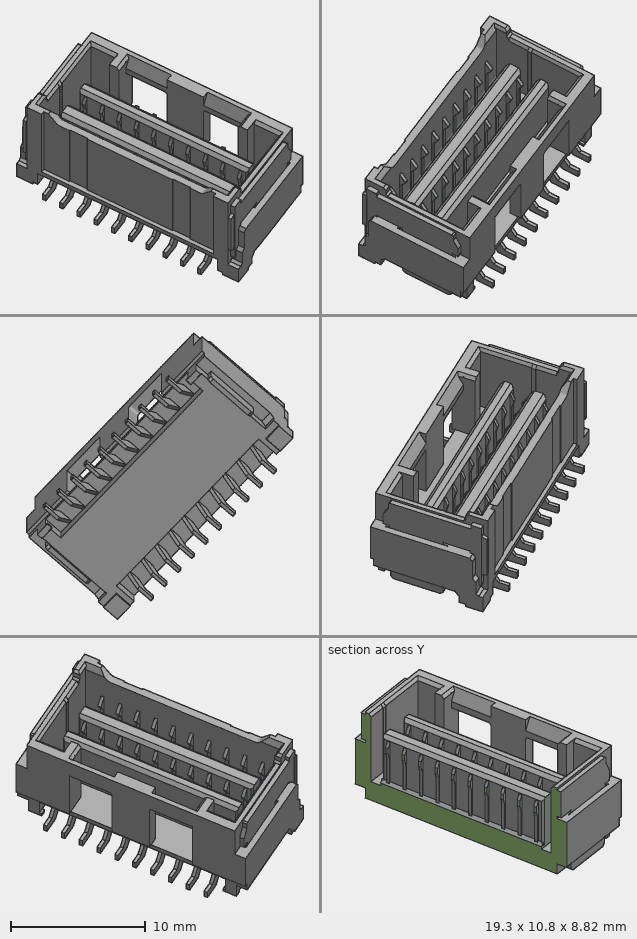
import cadquery as cq
import math


length = 19.3
half_length = length / 2
height = 8.82
pin_span = 10.85
half_depth = 4.57
front = -half_depth

wall_x = 8.75
wall_top = 8.0
underside = 0.3
floor_z = 2.0
raised_foot_y = -2.59
raised_back_y = raised_foot_y - 0.17
raised_top_y = raised_back_y - 0.23
mouth_depth = 0.25
cavity_x = 8.18
mouth_x = 8.38
cavity_back = 3.59
mouth_back = 3.86
cavity_front = -3.65
cavity_root_front = -3.53
mouth_front = -3.95
lead_in_bottom = 8.34
guide_nub_x = 8.13
guide_nub_y = (-0.89, -0.56)

dip_outer_x = 7.06
dip_slope_x = 6.43
dip_inner_x = 6.06
dip_slope_drop = 0.65
panel_x = 7.47
panel_y = front + 0.3
groove_x = (3.7, 5.23)
groove_depth = 0.08

key_x = (5.17, 6.0)
key_front = 2.68
key_chamfer = 0.23
pocket_back = 3.65
pad_x = 1.58
scoop_y = 4.2
scoop_bottom = 7.03
window_top = 6.47
window_corner = 0.23

back_step_y = 4.32
pin_bay_x = 7.82
pin_bay_top = 1.58
pin_bay_y = 2.8
foot_bottom = 0.08
front_foot_x = 8.25
back_foot_x = 7.62
front_foot_back = -3.17
back_foot_front = 3.85

plate_x = 9.1
flange_top = 5.29
flange_notch_z = 1.33
slit_width = 0.05
slit_y = (-1.47, 3.57)
slit_bottom = 1.93
lug_x = (8.78, 9.05)
plate_front = -4.2
plate_bottom = 2.2
tab_y = (-1.1, 3.17)
tab_chamfer = 0.23

blade_x = 7.33
blade_base_z = 2.2
blade_base_back = 0.96
blade_top = 6.37
blade_chamfer = 0.29
root_flare_height = 0.29
blade_end_chamfer = 0.15
back_blade_faces = (1.55, 0.48)
front_blade_faces = (-0.89, -2.18)
blade_roots = [
    (back_blade_faces[1], 0.3),
    (front_blade_faces[0], -0.75),
    (front_blade_faces[1], -2.41),
]

contacts_per_row = 10
row_length = 13.5
pitch = row_length / (contacts_per_row - 1)
contact_width = 0.27
prong_top = 5.98
prong_tip_z = 5.35
prong_root_z = 4.63
prong_embed = 0.1
leg_height = 0.65
leg_end = pin_span / 2
leg_bend_y = 4.6
leg_heel_y = 4.01
leg_run = 1.31
leg_top = 1.78
toe_chamfer = 0.05


def block(x_range, y_range, z_range):
    """Box between the given limits."""
    size = [high - low for low, high in (x_range, y_range, z_range)]
    return cq.Workplane("XY").box(*size, centered=False).translate((x_range[0], y_range[0], z_range[0]))


def prism_x(points, x_range):
    """(Y, Z) outline extruded along X."""
    low, high = x_range
    return cq.Workplane("YZ").workplane(offset=low).polyline(points).close().extrude(high - low)


def prism_y(outline, y_range):
    """(X, Z) sketch on the XZ plane extruded along Y; outline is a function of the workplane."""
    low, high = y_range
    return outline(cq.Workplane("XZ").workplane(offset=-high)).extrude(high - low)


def both_ends(shape):
    """The shape together with its mirror image at the other end."""
    return shape.union(shape.mirror("YZ"))


def outer_shell():
    profile = [
        (front, underside),
        (back_step_y, underside),
        (back_step_y, floor_z),
        (half_depth, floor_z),
        (half_depth, wall_top),
        (raised_foot_y, wall_top),
        (raised_back_y, wall_top + 0.17),
        (raised_back_y, height - 0.2),
        (raised_top_y, height),
        (front, height),
    ]
    return prism_x(profile, (-wall_x, wall_x))


def cavity():
    """Main pocket with a widened mouth and a sloped lead-in along the front wall."""
    long_section = prism_x(
        [
            (cavity_root_front, floor_z),
            (cavity_back, floor_z),
            (cavity_back, wall_top - mouth_depth),
            (mouth_back, wall_top),
            (mouth_back, height),
            (mouth_front, height),
            (cavity_front, lead_in_bottom),
            (cavity_front, blade_base_z + root_flare_height),
        ],
        (-mouth_x, mouth_x),
    )

    def cross_section(rim, y_range):
        def outline(plane):
            return plane.polyline(
                [
                    (-cavity_x, floor_z),
                    (-cavity_x, rim - mouth_depth),
                    (-mouth_x, rim),
                    (mouth_x, rim),
                    (cavity_x, rim - mouth_depth),
                    (cavity_x, floor_z),
                ]
            ).close()

        return prism_y(outline, y_range)

    low_part = cross_section(wall_top, (raised_foot_y, mouth_back))
    high_part = cross_section(height, (mouth_front, raised_foot_y))
    return long_section.intersect(low_part.union(high_part))


def guide_nubs():
    """Slim upright nub on each end wall, chamfered with the mouth."""

    def outline(plane):
        return plane.polyline(
            [
                (guide_nub_x, floor_z),
                (guide_nub_x, wall_top - mouth_depth),
                (mouth_x, wall_top),
                (wall_x, wall_top),
                (wall_x, floor_z),
            ]
        ).close()

    return both_ends(prism_y(outline, guide_nub_y))


def front_dip():
    """Lowered middle of the front wall, with sloped ends that round into the flat."""
    slope_end_z = height - dip_slope_drop
    arc_width = dip_slope_x - dip_inner_x
    arc_radius = arc_width / math.sin(math.pi / 4)
    arc_mid = (
        dip_inner_x + arc_radius * math.sin(math.pi / 8),
        wall_top + arc_radius * (1 - math.cos(math.pi / 8)),
    )

    def outline(plane):
        return (
            plane.moveTo(-dip_outer_x, height)
            .lineTo(-dip_slope_x, slope_end_z)
            .threePointArc((-arc_mid[0], arc_mid[1]), (-dip_inner_x, wall_top))
            .lineTo(dip_inner_x, wall_top)
            .threePointArc(arc_mid, (dip_slope_x, slope_end_z))
            .lineTo(dip_outer_x, height)
            .close()
        )

    return prism_y(outline, (front, cavity_front))


def front_panel():
    """Shallow recess over the front face with two grooves a little deeper."""
    panel = block((-panel_x, panel_x), (front, panel_y), (floor_z, height))
    groove = block(groove_x, (panel_y, panel_y + groove_depth), (floor_z, height))
    return panel.union(both_ends(groove))


def back_keys():
    """Two keying ribs on the back wall, with the thicker wall between them."""
    inner, outer = key_x

    def outline(plane):
        return plane.polyline(
            [
                (inner, floor_z),
                (outer, floor_z),
                (outer, wall_top),
                (inner + key_chamfer, wall_top),
                (inner, wall_top - mouth_depth),
            ]
        ).close()

    ribs = both_ends(prism_y(outline, (key_front, half_depth)))
    wall = block((-inner, inner), (pocket_back, half_depth), (floor_z, wall_top))
    return ribs.union(wall)


def back_openings():
    """Skim cut between the keys, with a sloped scoop and a window on each side of the middle pad."""
    inner, outer = pad_x, key_x[0]
    scoop = prism_x(
        [(pocket_back, scoop_bottom), (scoop_y, wall_top), (pocket_back, wall_top)],
        (inner, outer + key_chamfer),
    )

    def scoop_limit(plane):
        return plane.polyline(
            [
                (inner, scoop_bottom),
                (outer, scoop_bottom),
                (outer, wall_top - mouth_depth),
                (outer + key_chamfer, wall_top),
                (inner, wall_top),
            ]
        ).close()

    scoop = scoop.intersect(prism_y(scoop_limit, (pocket_back, scoop_y)))
    window = block((inner, outer), (pocket_back, half_depth), (floor_z, window_top))
    window = window.edges("|Y and <X and >Z").fillet(window_corner)
    between_keys = block((-outer, outer), (cavity_back, pocket_back), (floor_z, wall_top))
    return both_ends(scoop.union(window)).union(between_keys)


def pin_bays():
    """Open spaces under the long walls where the contact legs come out."""
    x_range = (-pin_bay_x, pin_bay_x)
    front_bay = block(x_range, (front, -pin_bay_y), (underside, pin_bay_top))
    back_bay = block(x_range, (pin_bay_y, half_depth), (underside, pin_bay_top))
    return front_bay.union(back_bay)


def end_flange():
    """Thick outer cheek on the +X end, arched over the anchor tab and standing on its front foot."""
    profile = [
        (half_depth, flange_top),
        (-3.51, flange_top),
        (-3.72, 5.0),
        (-3.72, 3.22),
        (-4.01, 2.93),
        (-4.01, 1.75),
        (-4.25, pin_bay_top),
        (front, pin_bay_top),
        (front, foot_bottom),
        (front_foot_back, foot_bottom),
        (front_foot_back, underside),
        (-2.65, underside),
        (-2.65, 0.93),
        (-2.28, flange_notch_z),
        (back_step_y, flange_notch_z),
        (back_step_y, floor_z),
        (half_depth, floor_z),
    ]
    slit = block((plate_x, plate_x + slit_width), slit_y, (slit_bottom, flange_top))
    return prism_x(profile, (wall_x, half_length)).cut(slit)


def feet():
    """Standing pads under the +X end of the housing."""
    z_range = (foot_bottom, underside)
    front_pad = block((front_foot_x, wall_x), (front, front_foot_back), z_range)
    back_pad = block((back_foot_x, wall_x), (back_foot_front, back_step_y), z_range)
    return front_pad.union(back_pad)


def anchor_plate():
    """Metal anchor on the +X end: side plate, locking lug at the front and solder tab below."""
    plate = prism_x(
        [
            (plate_front, plate_bottom),
            (plate_front, 8.2),
            (-3.35, 8.2),
            (-3.35, 7.82),
            (3.22, 7.82),
            (3.35, 7.72),
            (3.35, 7.22),
            (3.78, 6.43),
            (3.78, 5.46),
            (3.28, 5.46),
            (3.28, plate_bottom),
            (tab_y[0], plate_bottom),
            (tab_y[0], 5.46),
            (-3.3, 5.46),
            (-3.3, plate_bottom),
        ],
        (wall_x, plate_x),
    )
    lug = prism_x(
        [(plate_front, 3.28), (-4.63, 3.44), (-4.63, 7.16), (plate_front, 7.31)],
        lug_x,
    )
    tab = prism_x(
        [
            (tab_y[0], plate_bottom),
            (tab_y[0], tab_chamfer),
            (tab_y[0] + tab_chamfer, 0),
            (tab_y[1] - tab_chamfer, 0),
            (tab_y[1], tab_chamfer),
            (tab_y[1], plate_bottom),
        ],
        (wall_x, plate_x),
    )
    return plate.union(lug).union(tab)


def blade_base():
    """Low step on the cavity floor that carries the blades and contacts."""
    return block((-blade_x, blade_x), (cavity_front, blade_base_back), (floor_z, blade_base_z))


def blade(back_face, front_face):
    """Lengthwise blade with a chamfered top and chamfered ends."""
    shoulder = blade_top - blade_chamfer
    profile = [
        (back_face, floor_z),
        (back_face, shoulder),
        (back_face - blade_chamfer, blade_top),
        (front_face + blade_chamfer, blade_top),
        (front_face, shoulder),
        (front_face, floor_z),
    ]
    body = prism_x(profile, (-blade_x, blade_x))
    plan = block((-blade_x, blade_x), (front_face, back_face), (floor_z, blade_top))
    return body.intersect(plan.edges("|Z").chamfer(blade_end_chamfer))


def root_flare(face_y, root_y):
    """Sloped fillet-like foot along one face of a blade."""
    profile = [
        (face_y, blade_base_z),
        (root_y, blade_base_z),
        (face_y, blade_base_z + root_flare_height),
    ]
    return prism_x(profile, (-blade_x, blade_x))


def prong(face_y, tip_y):
    """(Y, Z) outline of a contact spring that bulges from a wall face, sloped above and below its tip."""
    inward = math.copysign(prong_embed, face_y - tip_y)
    return [
        (face_y + inward, floor_z - prong_embed),
        (face_y + inward, prong_top),
        (face_y, prong_top),
        (tip_y, prong_tip_z),
        (face_y - inward, prong_root_z),
        (face_y - inward, floor_z - prong_embed),
    ]


def leg_outline(side):
    """Solder leg leaving the housing on the +Y (side = 1) or -Y (side = -1) flank."""
    outline = [
        (leg_end, toe_chamfer),
        (leg_end, leg_height),
        (leg_bend_y, leg_height),
        (leg_bend_y - leg_run * (1 - leg_height / leg_top), leg_top),
        (leg_heel_y - leg_run, leg_top),
        (leg_heel_y, 0),
        (leg_end - toe_chamfer, 0),
    ]
    return [(side * y, z) for y, z in outline]


def contacts():
    outlines = [
        prong(back_blade_faces[1], 0.2),
        prong(front_blade_faces[0], -0.45),
        prong(front_blade_faces[1], -2.49),
        prong(cavity_front, -3.13),
        leg_outline(1),
        leg_outline(-1),
    ]
    first = -(row_length + contact_width) / 2
    parts = []
    for index in range(contacts_per_row):
        left = first + index * pitch
        parts += [prism_x(outline, (left, left + contact_width)).val() for outline in outlines]
    return parts


housing = outer_shell().cut(cavity()).union(guide_nubs()).union(back_keys())
housing = housing.cut(back_openings()).cut(front_dip()).cut(front_panel()).cut(pin_bays())
end_parts = end_flange().union(feet()).union(anchor_plate())
housing = housing.union(both_ends(end_parts))
housing = housing.union(blade_base())
housing = housing.union(blade(*back_blade_faces)).union(blade(*front_blade_faces))
for face_y, root_y in blade_roots:
    housing = housing.union(root_flare(face_y, root_y))
result = cq.Workplane(housing.val().fuse(*contacts()))